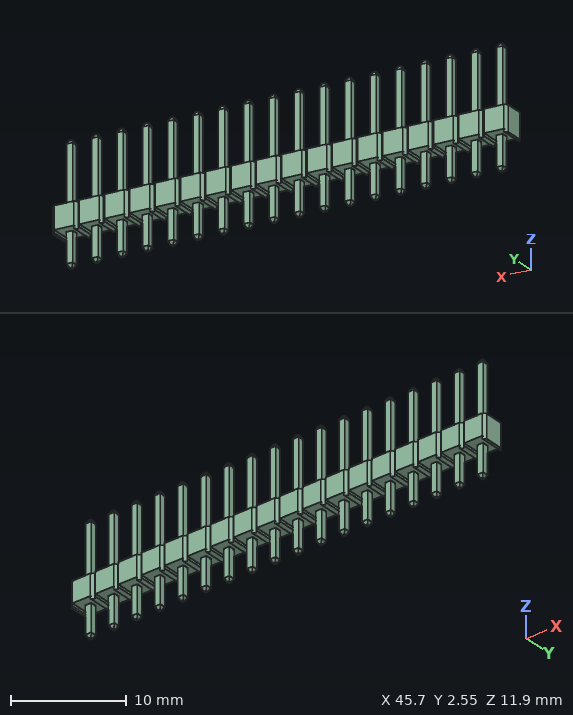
import cadquery as cq

pin_count = 18
strip_length = 45.7
pitch = strip_length / pin_count
block_depth = 2.55
block_height = 2.55
corner_chamfer = 0.27
standoff_height = 0.27

pin_width = 0.65
pin_above = 6.3
pin_below = 3.05
tip_width = 0.27
tip_length = 0.35


def make_block():
    """One octagonal block, with a channel under it that leaves a foot at each end."""
    block = (
        cq.Workplane("XY")
        .box(pitch, block_depth, block_height, centered=(True, True, False))
        .edges("|Z")
        .chamfer(corner_chamfer)
    )
    channel_width = pitch - 2 * corner_chamfer
    channel = cq.Workplane("XY").box(
        channel_width, block_depth, standoff_height, centered=(True, True, False)
    )
    return block.cut(channel)


def make_tip(base_z, rise):
    """Square frustum that narrows from the pin width to the tip width."""
    return (
        cq.Workplane("XY")
        .workplane(offset=base_z)
        .rect(pin_width, pin_width)
        .workplane(offset=rise)
        .rect(tip_width, tip_width)
        .loft(combine=True)
    )


def make_pin():
    """One square pin through the block, with its four sides tapered at both tips."""
    shank_bottom = tip_length - pin_below
    shank_top = block_height + pin_above - tip_length
    shank = (
        cq.Workplane("XY")
        .workplane(offset=shank_bottom)
        .rect(pin_width, pin_width)
        .extrude(shank_top - shank_bottom)
    )
    upper_tip = make_tip(shank_top, tip_length)
    lower_tip = make_tip(shank_bottom, -tip_length)
    return shank.union(upper_tip).union(lower_tip)


position = make_block().union(make_pin())
first_x = -(strip_length - pitch) / 2

result = position.translate((first_x, 0, 0))
for index in range(1, pin_count):
    result = result.union(position.translate((first_x + index * pitch, 0, 0)))